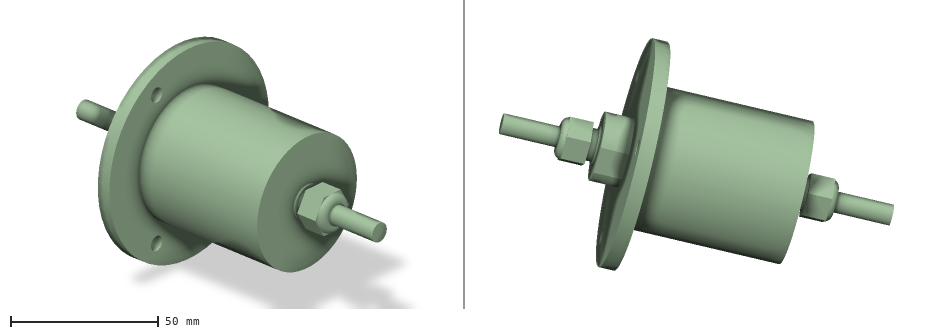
import cadquery as cq
import math

cable_length = 137.0
cable_diameter = 7.3

flange_start = 43.6
flange_thickness = 5.3
flange_diameter = 80.0
hole_count = 3
hole_diameter = 5.6
hole_ring_radius = 32.6

housing_start = flange_start + flange_thickness
housing_length = 54.5
housing_end = housing_start + housing_length
housing_diameter = 50.0

boss_length = 10.0
boss_start = flange_start - boss_length
boss_diameter = 24.1
boss_across_flats = 22.0

collar_length = 0.8
collar_diameter = 13.8
neck_length = 2.5
neck_diameter = 11.4
nut_length = 8.4
nut_across_flats = 14.7
nut_across_corners = nut_across_flats / math.cos(math.pi / 6)
cap_height = 2.0
cap_rounding = 2.5


def cylinder(start, length, diameter):
    """Cylinder centred on the X axis; a negative length runs toward -X."""
    return cq.Workplane("YZ", origin=(start, 0, 0)).circle(diameter / 2).extrude(length)


def make_flange():
    flange = cylinder(flange_start, flange_thickness, flange_diameter)
    holes = (
        cq.Workplane("YZ", origin=(flange_start, 0, 0))
        .polarArray(hole_ring_radius, 0, 360, hole_count)
        .circle(hole_diameter / 2)
        .extrude(flange_thickness)
    )
    return flange.cut(holes)


def make_boss():
    boss = cylinder(boss_start, boss_length, boss_diameter)
    flats = cq.Workplane("XY").box(
        boss_length, boss_diameter, boss_across_flats, centered=(False, True, True)
    )
    return boss.intersect(flats.translate((boss_start, 0, 0)))


def make_gland(seat, direction):
    """Gland standing on the face at X = seat; direction is +1 or -1 along X."""
    neck_start = seat + direction * collar_length
    nut_start = neck_start + direction * neck_length
    nut_end = nut_start + direction * nut_length

    collar = cylinder(seat, direction * collar_length, collar_diameter)
    neck = cylinder(neck_start, direction * neck_length, neck_diameter)
    nut = (
        cq.Workplane("YZ", origin=(nut_start, 0, 0))
        .polygon(6, nut_across_corners)
        .extrude(direction * nut_length)
    )
    outer_edge = ">X" if direction > 0 else "<X"
    cap = (
        cylinder(nut_start, direction * (nut_length + cap_height), nut_across_flats)
        .faces(outer_edge)
        .edges()
        .fillet(cap_rounding)
    )
    cap = cap.intersect(cylinder(nut_end, direction * cap_height, nut_across_flats))
    return collar.union(neck).union(nut).union(cap)


result = (
    cylinder(0, cable_length, cable_diameter)
    .union(make_flange())
    .union(cylinder(housing_start, housing_length, housing_diameter))
    .union(make_boss())
    .union(make_gland(boss_start, -1))
    .union(make_gland(housing_end, 1))
    .translate((-cable_length / 2, 0, 0))
)